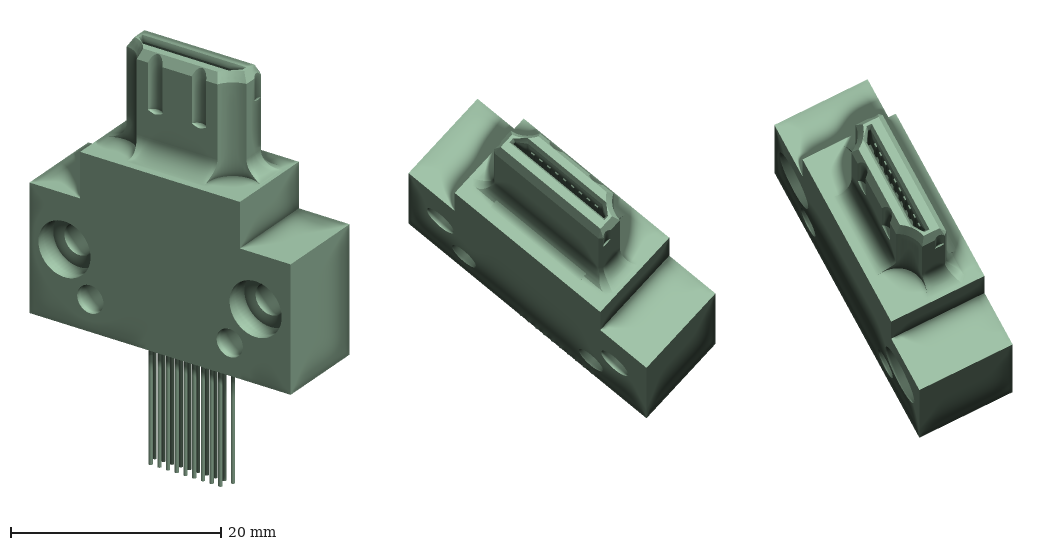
import cadquery as cq
import math

FAR = 27.0

body_depth = 10.0
lower_width = 30.0
lower_height = 14.0
upper_width = 18.35
body_height = 19.0

screw_hole_diameter = 3.4
counterbore_diameter = 6.0
counterbore_depth = 2.5
screw_hole_x = 11.0
screw_hole_z = 8.0
locating_hole_diameter = 3.0
locating_hole_x = 8.0
locating_hole_z = 3.5

plug_top = 30.0
plug_half_width = 6.9
plug_front = 2.9
plug_back = 7.25
front_half_width = 4.65
side_front = 4.5
hollow_radius = 2.8
back_corner_chamfer = 0.3
rim_chamfer_height = 1.0
rim_chamfer_inset = 0.6

flare_radius = 1.95
back_flare_drop = 0.22
back_ledge_half_width = 5.65
back_ledge_foot = 8.8

socket_depth = 5.0
socket_half_width = 6.0
socket_front_half_width = 4.95
socket_front = 4.28
socket_back = 5.75
socket_side_front = 5.2
lead_in_height = 0.55
lead_in_inset = 0.25

back_pin_count = 10
front_pin_count = back_pin_count - 1
back_row_span = 9.0
pin_pitch = back_row_span / (back_pin_count - 1)
contact_width = 0.4
contact_thickness = 0.15
contact_top_depth = 2.0
wire_diameter = 0.4
back_wire_y = 5.7
front_wire_y = 4.3
back_wire_length = 15.0
front_wire_length = 14.85

front_groove_x = 2.5
front_groove_radius = 0.9
front_groove_depth = 0.55
front_groove_length = 6.05
side_groove_y = 6.4
side_groove_radius = 0.85
side_groove_depth = 0.2
side_groove_length = 3.4
groove_tip_slope = 0.5


def box(x_min, x_max, y_min, y_max, z_min, z_max):
    size = (x_max - x_min, y_max - y_min, z_max - z_min)
    return cq.Workplane("XY").box(*size, centered=False).translate((x_min, y_min, z_min))


def front_hole(diameter, depth, x, z):
    """Cylinder running into the part from the front face."""
    circle = cq.Workplane("XZ").center(x, z).circle(diameter / 2)
    return circle.extrude(-depth)


def body():
    lower = box(-lower_width / 2, lower_width / 2, 0, body_depth, 0, lower_height)
    upper = box(-upper_width / 2, upper_width / 2, 0, body_depth, 0, body_height)
    solid = lower.union(upper)
    for side in (-1, 1):
        screw_x = side * screw_hole_x
        solid = solid.cut(front_hole(screw_hole_diameter, body_depth, screw_x, screw_hole_z))
        solid = solid.cut(front_hole(counterbore_diameter, counterbore_depth, screw_x, screw_hole_z))
        locating_x = side * locating_hole_x
        solid = solid.cut(front_hole(locating_hole_diameter, body_depth, locating_x, locating_hole_z))
    return solid


def hollow_axis():
    """Centre of the round hollow in the right front corner of the plug section."""
    run = plug_half_width - front_half_width
    rise = side_front - plug_front
    chord = math.hypot(run, rise)
    offset = math.sqrt(hollow_radius**2 - (chord / 2) ** 2)
    x = (front_half_width + plug_half_width) / 2 + offset * rise / chord
    y = (plug_front + side_front) / 2 - offset * run / chord
    return x, y


def plug_outline(z):
    """Plug section: flat faces, chamfered back corners and hollow round front corners."""
    run = plug_half_width - front_half_width
    rise = side_front - plug_front
    chord = math.hypot(run, rise)
    axis_x, axis_y = hollow_axis()
    middle_x = axis_x - hollow_radius * rise / chord
    middle_y = axis_y + hollow_radius * run / chord
    chamfer_x = plug_half_width - back_corner_chamfer
    chamfer_y = plug_back - back_corner_chamfer
    return (
        cq.Workplane("XY", origin=(0, 0, z))
        .moveTo(-front_half_width, plug_front)
        .lineTo(front_half_width, plug_front)
        .threePointArc((middle_x, middle_y), (plug_half_width, side_front))
        .lineTo(plug_half_width, chamfer_y)
        .lineTo(chamfer_x, plug_back)
        .lineTo(-chamfer_x, plug_back)
        .lineTo(-plug_half_width, chamfer_y)
        .lineTo(-plug_half_width, side_front)
        .threePointArc((-middle_x, middle_y), (-front_half_width, plug_front))
        .close()
    )


def plug_rim():
    taper = math.degrees(math.atan2(rim_chamfer_inset, rim_chamfer_height))
    return plug_outline(plug_top - rim_chamfer_height).extrude(rim_chamfer_height, taper=taper)


def flared_wall(wall, direction, drop=0.0):
    """Solid behind an upright wall at a signed distance from the Z axis, flaring out at its root.

    The direction is the angle the wall faces. The drop sinks the flare into the body.
    """
    foot = body_height - drop
    bend = flare_radius * (1 - math.sqrt(0.5))
    profile = (
        cq.Workplane("XZ")
        .moveTo(-FAR, foot)
        .lineTo(-FAR, plug_top)
        .lineTo(wall, plug_top)
        .lineTo(wall, foot + flare_radius)
        .threePointArc((wall + bend, foot + bend), (wall + flare_radius, foot))
        .close()
    )
    return profile.extrude(FAR, both=True).rotate((0, 0, 0), (0, 0, 1), direction)


def plug_shaft():
    """Upright part of the plug with the flare at its root, up to the rim chamfer."""
    corner_wall = (plug_half_width + plug_back - back_corner_chamfer) / math.sqrt(2)
    axis_x, axis_y = hollow_axis()
    rim_start = plug_top - rim_chamfer_height
    flare_top = body_height + flare_radius

    core = box(-FAR, FAR, plug_front, body_depth, body_height, rim_start)
    for direction in (0, 180):
        core = core.intersect(flared_wall(plug_half_width, direction))
    for direction in (45, 135):
        core = core.intersect(flared_wall(corner_wall, direction))
    core = core.intersect(flared_wall(plug_back, 90, back_flare_drop))

    front = box(-axis_x, axis_x, 0, side_front, body_height, rim_start)
    front = front.intersect(flared_wall(-plug_front, -90))

    ledge = box(
        -back_ledge_half_width, back_ledge_half_width, side_front, body_depth, body_height, flare_top
    )
    ledge = ledge.intersect(flared_wall(back_ledge_foot - flare_radius, 90))

    hollows = (
        cq.Workplane("XY", origin=(0, 0, body_height))
        .pushPoints([(-axis_x, axis_y), (axis_x, axis_y)])
        .circle(hollow_radius)
        .extrude(rim_start - body_height)
    )
    return core.union(front).cut(hollows).union(ledge)


def socket_outline(z, inset):
    """Six-sided socket section with its two front corners cut off."""
    side = socket_half_width - inset
    front_corner = socket_front_half_width - inset
    half = [
        (front_corner, socket_front + inset),
        (side, socket_side_front),
        (side, socket_back - inset),
    ]
    mirrored = [(-x, y) for x, y in reversed(half)]
    return cq.Workplane("XY", origin=(0, 0, z)).polyline(half + mirrored).close()


def row_positions(count):
    return [(i - (count - 1) / 2) * pin_pitch for i in range(count)]


def socket():
    """Space removed for the socket, notched where the contacts lie against its walls."""
    lead_in_start = plug_top - lead_in_height
    floor = plug_top - socket_depth
    space = socket_outline(floor, lead_in_inset).extrude(lead_in_start - floor)
    lead_in = cq.Workplane(
        cq.Solid.makeLoft(
            [
                socket_outline(lead_in_start, lead_in_inset).val(),
                socket_outline(plug_top, 0).val(),
            ],
            True,
        )
    )
    contact_top = plug_top - contact_top_depth
    back = socket_back - lead_in_inset
    front = socket_front + lead_in_inset
    rows = (
        (back_pin_count, back - contact_thickness, back),
        (front_pin_count, front, front + contact_thickness),
    )
    half = contact_width / 2
    for count, y_min, y_max in rows:
        for x in row_positions(count):
            space = space.cut(box(x - half, x + half, y_min, y_max, floor, contact_top))
    return space.union(lead_in)


def groove(x, y, radius, length):
    """Upright round cutter about an axis outside the plug, with a conical tip at its lower end."""
    bottom = plug_top - length
    return (
        cq.Workplane("XZ", origin=(x, y, 0))
        .moveTo(0, plug_top)
        .lineTo(radius, plug_top)
        .lineTo(radius, bottom)
        .lineTo(0, bottom - groove_tip_slope * radius)
        .close()
        .revolve(360, (0, 0, 0), (0, 1, 0))
    )


def grip_grooves():
    front_y = plug_front + front_groove_depth - front_groove_radius
    side_x = plug_half_width - side_groove_depth + side_groove_radius
    cutters = cq.Workplane("XY")
    for side in (-1, 1):
        front_axis_x = side * front_groove_x
        side_axis_x = side * side_x
        cutters = cutters.add(groove(front_axis_x, front_y, front_groove_radius, front_groove_length))
        cutters = cutters.add(groove(side_axis_x, side_groove_y, side_groove_radius, side_groove_length))
    return cutters.combine()


def wires():
    rows = (
        (back_pin_count, back_wire_y, back_wire_length),
        (front_pin_count, front_wire_y, front_wire_length),
    )
    bundle = cq.Workplane("XY")
    for count, y, length in rows:
        centres = [(x, y) for x in row_positions(count)]
        row = cq.Workplane("XY").pushPoints(centres).circle(wire_diameter / 2).extrude(-length)
        bundle = bundle.add(row)
    return bundle.combine()


plug = plug_shaft().union(plug_rim()).cut(socket()).cut(grip_grooves())
result = body().union(plug).union(wires())